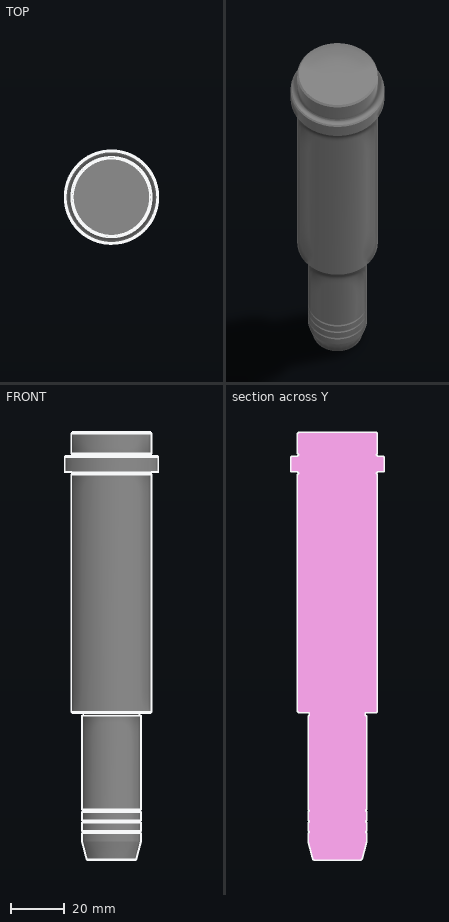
import cadquery as cq

total_height = 160.0
shoulder_height = 55.0
flange_bottom = 145.0
flange_top = 151.0
taper_height = 7.0

flange_diameter = 35.0
body_diameter = 30.0
pilot_diameter = 22.0
tip_diameter = 18.4

edge_chamfer = 0.5
top_chamfer = 0.6
tip_chamfer = 0.5
relief_width = 1.0
relief_depth = 0.5
ring_groove_width = 1.0
ring_groove_depth = 0.5
lowest_ring_groove = 10.5
ring_groove_pitch = 4.0
ring_groove_count = 3


def cylinder(diameter, bottom, top):
    """Solid cylinder about Z between two heights."""
    return cq.Workplane("XY").workplane(offset=bottom).circle(diameter / 2).extrude(top - bottom)


def square_groove(diameter, depth, bottom, width):
    """Ring to cut a square groove into a cylinder of the given diameter."""
    outer = cylinder(diameter, bottom, bottom + width)
    return outer.cut(cylinder(diameter - 2 * depth, bottom, bottom + width))


def v_groove(diameter, depth, bottom, width):
    """Ring to cut a V groove into a cylinder of the given diameter."""
    radius = diameter / 2
    profile = cq.Workplane("XZ").polyline(
        [(radius, bottom), (radius - depth, bottom + width / 2), (radius, bottom + width)]
    )
    return profile.close().revolve(360, (0, 0), (0, 1))


tip = (
    cq.Workplane("XY")
    .circle(tip_diameter / 2)
    .workplane(offset=taper_height)
    .circle(pilot_diameter / 2)
    .loft(ruled=True)
    .faces("<Z")
    .chamfer(tip_chamfer)
)
pilot = tip.union(cylinder(pilot_diameter, taper_height, shoulder_height))

body = cylinder(body_diameter, shoulder_height, total_height).faces("<Z").chamfer(edge_chamfer)
body = body.faces(">Z").chamfer(top_chamfer)
flange = cylinder(flange_diameter, flange_bottom, flange_top).faces(">Z").chamfer(edge_chamfer)

body = body.cut(v_groove(body_diameter, relief_depth, flange_top, relief_width))
body = body.cut(v_groove(body_diameter, relief_depth, flange_bottom - relief_width, relief_width))
pilot = pilot.cut(square_groove(pilot_diameter, relief_depth, shoulder_height - relief_width, relief_width))

for index in range(ring_groove_count):
    center = lowest_ring_groove + index * ring_groove_pitch
    bottom = center - ring_groove_width / 2
    pilot = pilot.cut(v_groove(pilot_diameter, ring_groove_depth, bottom, ring_groove_width))

result = pilot.union(body).union(flange)